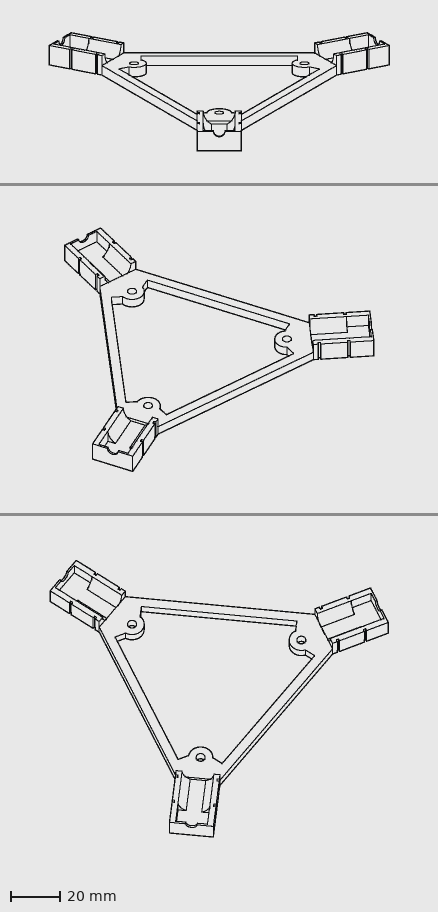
import cadquery as cq
import math

overall_width = 138.5
height = 8.5
frame_height = 4.2
corner_angles = (0, 120, 240)

holder_width = 18.0
holder_length = 24.8
end_wall = 0.8
pocket_width = 13.0
floor_height = 2.8

saddle_length = 15.1
saddle_radius = pocket_width / 2
end_notch_radius = 2.4

side_notch = 1.0
side_notch_pitch = 12.0

bar_width = 4.0
ear_radius = 5.0
ear_hole_radius = 1.8
ear_distance = 40.0

tilt = math.radians(30)
half_width = holder_width / 2
holder_end = (overall_width / 2 - half_width * math.sin(tilt)) / math.cos(tilt)
holder_start = holder_end - holder_length
pocket_end = holder_end - end_wall
saddle_end = holder_start + saddle_length

outer_apothem = half_width * math.cos(tilt) + holder_start * math.sin(tilt)
inner_apothem = outer_apothem - bar_width
plate_shoulder = (inner_apothem - half_width * math.cos(tilt)) / math.sin(tilt)
plate_tip = plate_shoulder - half_width * math.tan(tilt)


def block(width, y_start, y_end, z_start, z_end):
    """Box centred on the Y axis between the given limits."""
    size_y = y_end - y_start
    size_z = z_end - z_start
    box = cq.Workplane("XY").box(width, size_y, size_z, centered=(True, False, False))
    return box.translate((0, y_start, z_start))


def rod(radius, y_start, y_end):
    """Cylinder along Y whose axis lies in the holder's top face."""
    profile = cq.Workplane("XZ", origin=(0, y_start, height)).circle(radius)
    return profile.extrude(y_start - y_end)


def make_bar():
    """Bar opposite the +Y corner, between the inner corners of two holders."""
    bar_length = 2 * (holder_start * math.cos(tilt) - half_width * math.sin(tilt))
    return block(bar_length, -outer_apothem, -inner_apothem, 0, frame_height)


def make_corner_plate():
    """Plate joining two bars to a holder, with a round screw ear."""
    outline = [
        (-half_width, holder_start),
        (half_width, holder_start),
        (half_width, plate_shoulder),
        (0, plate_tip),
        (-half_width, plate_shoulder),
    ]
    plate = cq.Workplane("XY").polyline(outline).close().extrude(frame_height)
    ear = cq.Workplane("XY").center(0, ear_distance).circle(ear_radius).extrude(frame_height)
    return plate.union(ear)


def make_holder():
    """Open-ended tray with a round saddle, an end notch and side grooves."""
    holder = block(holder_width, holder_start, holder_end, 0, height)
    holder = holder.cut(block(pocket_width, saddle_end, pocket_end, floor_height, height))

    saddle_room = block(pocket_width, holder_start, saddle_end, floor_height, height)
    holder = holder.cut(rod(saddle_radius, holder_start, saddle_end).intersect(saddle_room))
    holder = holder.cut(rod(end_notch_radius, pocket_end, holder_end))

    far_groove = saddle_end - side_notch
    for groove_start in (far_groove, far_groove - side_notch_pitch):
        groove = block(2 * side_notch, groove_start, groove_start + side_notch, 0, height)
        for side in (-1, 1):
            holder = holder.cut(groove.translate((side * half_width, 0, 0)))
    return holder


def make_ear_hole():
    return cq.Workplane("XY").center(0, ear_distance).circle(ear_hole_radius).extrude(frame_height)


sector = make_corner_plate().union(make_holder()).cut(make_ear_hole())
bar = make_bar()

result = cq.Workplane("XY")
for angle in corner_angles:
    for piece in (sector, bar):
        result = result.union(piece.rotate((0, 0, 0), (0, 0, 1), angle))